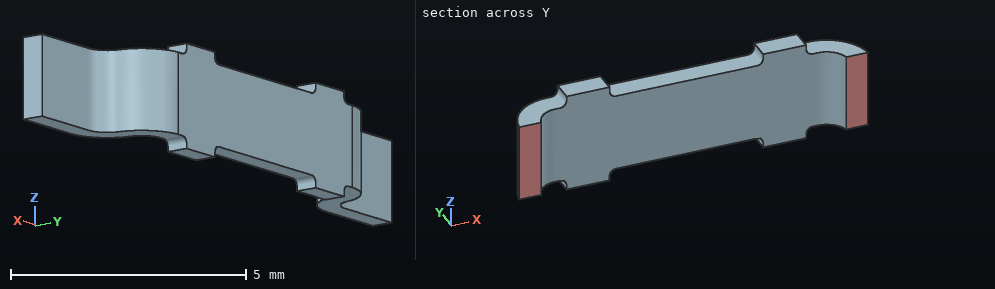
import cadquery as cq
import math

LENGTH = 12.3
DEPTH = 1.8
STRIP_WIDTH = 1.8
TAB_SPAN = 2.3
THICKNESS = 0.5
FOOT_LENGTH = 1.64
BEND_RADIUS = 0.75
TAB_INNER_X = 1.77
TAB_LENGTH = 1.0
TAB_FILLET = 0.15

half_length = LENGTH / 2
offset = DEPTH - THICKNESS
bend_angle = math.acos(1 - offset / (2 * BEND_RADIUS))
bend_run = 2 * BEND_RADIUS * math.sin(bend_angle)
foot_y = -offset / 2
bridge_y = offset / 2
foot_end_x = half_length - FOOT_LENGTH
bridge_end_x = foot_end_x - bend_run


def bend_point(center, radius, angle, side):
    """Point on a bend, turned by angle from the +Y (side 1) or -Y (side -1) direction."""
    return (
        center[0] + side * radius * math.sin(angle),
        center[1] + side * radius * math.cos(angle),
    )


def strip_half():
    """Bridge, double bend and foot on the +X side of the middle plane."""
    upper_center = (bridge_end_x, bridge_y - BEND_RADIUS)
    lower_center = (foot_end_x, foot_y + BEND_RADIUS)
    outer = BEND_RADIUS + THICKNESS / 2
    inner = BEND_RADIUS - THICKNESS / 2
    half_angle = bend_angle / 2
    half_thick = THICKNESS / 2
    return (
        cq.Workplane("XY")
        .moveTo(0, bridge_y + half_thick)
        .lineTo(bridge_end_x, bridge_y + half_thick)
        .threePointArc(
            bend_point(upper_center, outer, half_angle, 1),
            bend_point(upper_center, outer, bend_angle, 1),
        )
        .threePointArc(
            bend_point(lower_center, inner, half_angle, -1),
            (foot_end_x, foot_y + half_thick),
        )
        .lineTo(half_length, foot_y + half_thick)
        .lineTo(half_length, foot_y - half_thick)
        .lineTo(foot_end_x, foot_y - half_thick)
        .threePointArc(
            bend_point(lower_center, outer, half_angle, -1),
            bend_point(lower_center, outer, bend_angle, -1),
        )
        .threePointArc(
            bend_point(upper_center, inner, half_angle, 1),
            (bridge_end_x, bridge_y - half_thick),
        )
        .lineTo(0, bridge_y - half_thick)
        .close()
        .extrude(STRIP_WIDTH / 2, both=True)
    )


def tab_pair():
    """Crossbar through the bridge whose ends form two opposite tabs with filleted roots."""
    x_mid = TAB_INNER_X + TAB_LENGTH / 2
    root_length = TAB_LENGTH + 4 * TAB_FILLET
    crossbar = cq.Workplane("XY").box(TAB_LENGTH, THICKNESS, TAB_SPAN)
    root_bar = cq.Workplane("XY").box(root_length, THICKNESS, STRIP_WIDTH)
    reach_x = (TAB_LENGTH + TAB_FILLET) / 2
    reach_z = (STRIP_WIDTH + TAB_FILLET) / 2
    root_edges = cq.selectors.BoxSelector(
        (-reach_x, -THICKNESS, -reach_z),
        (reach_x, THICKNESS, reach_z),
    )
    return (
        crossbar.union(root_bar)
        .edges(root_edges)
        .edges("|Y")
        .fillet(TAB_FILLET)
        .translate((x_mid, bridge_y, 0))
    )


right_half = strip_half().union(tab_pair())
result = right_half.union(right_half.mirror("YZ")).clean()